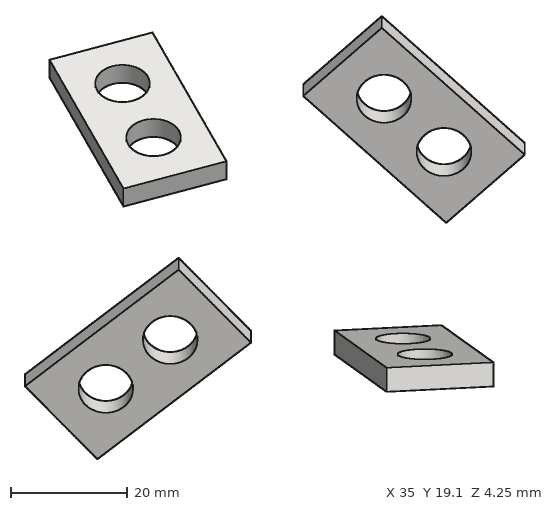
import cadquery as cq

plate_length = 35.05
plate_width = 19.05
plate_thickness = 4.25

hole_diameter = 9.4
hole_spacing = 14.7


def make_plate():
    """Rectangular plate centred on the origin."""
    return cq.Workplane("XY").box(plate_length, plate_width, plate_thickness)


def cut_holes(plate):
    """Cut the pair of round holes right through the plate."""
    hole_centres = [(-hole_spacing / 2, 0), (hole_spacing / 2, 0)]
    return plate.faces(">Z").workplane().pushPoints(hole_centres).hole(hole_diameter)


result = cut_holes(make_plate())